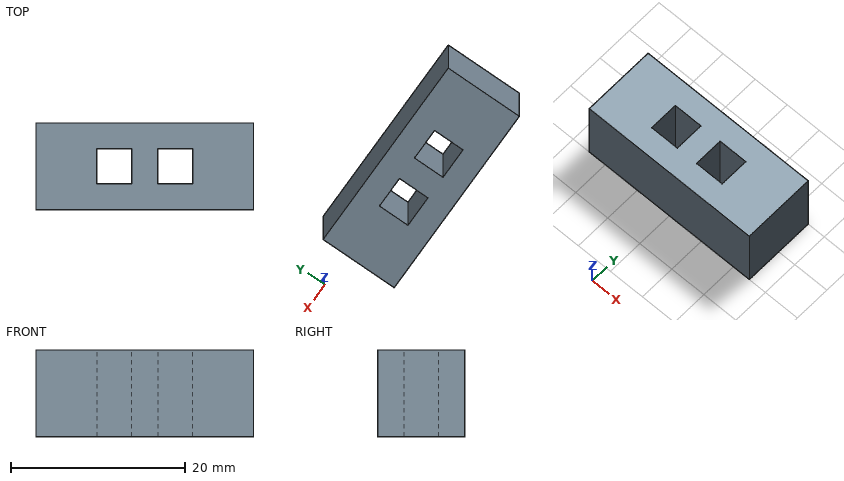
import cadquery as cq

length = 25.0
width = 10.0
height = 10.0

window_side = 4.0
window_gap = 3.0
first_window_start = 7.0
window_count = 2

window_pitch = window_side + window_gap
first_window_center = first_window_start + window_side / 2
window_centers = [
    (first_window_center + index * window_pitch, width / 2)
    for index in range(window_count)
]

block = cq.Workplane("XY").box(length, width, height, centered=False)

windows = (
    cq.Workplane("XY")
    .pushPoints(window_centers)
    .rect(window_side, window_side)
    .extrude(height)
)

result = block.cut(windows)